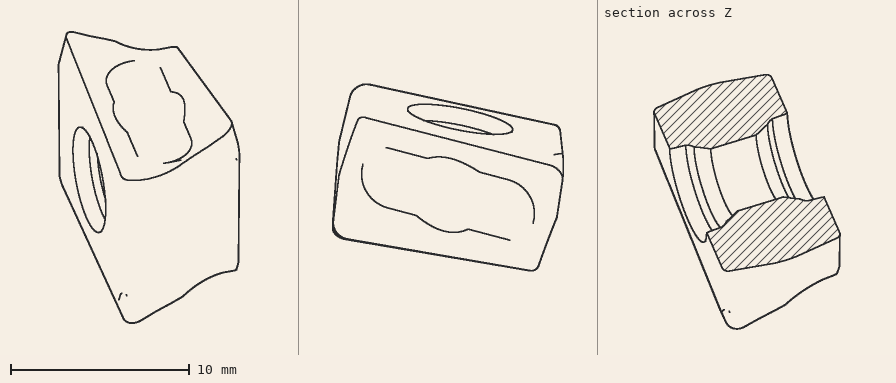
import cadquery as cq
import math


THICKNESS = 7.01
HALF_THICKNESS = THICKNESS / 2
BLANK_HEIGHT = 16.0
OVERSIZE = 30.0
WASTE_SIZE = 120.0

MAIN_END = (-6.323, 0.148, 0.024)
MIDDLE_END = (-6.26, -0.045, 0.0101)
TALL_END = (-6.274, -0.057, 0.0132)

HIGH_RIM = cq.Vector(5.21, 3.17, 6.09)
LOW_RIM = cq.Vector(-5.33, 3.39, 3.99)
RELIEF_FOOT = cq.Vector(5.21, HALF_THICKNESS, 4.70)

SIDE_CORNER_RADIUS = 0.35
HIGH_CORNER_RADIUS = 0.9
LOW_CORNER_RADIUS = 0.42

FLOOR_Z = 3.89
FLOOR_EDGE_Y = 1.66
FLOOR_EDGE_TILT = 3.9
FLOOR_ROUND_RADIUS = 2.0
FLOOR_ROUND_CENTRE = (3.0, -0.55)
POCKET_TOP_Z = 8.0
WALL_EXTENSION = 1.3
END_RIM_Z = 4.56
END_RIM_SLOPE = 0.516

RIDGE_HALF_WIDTH = 1.5
RIDGE_HEIGHT = 0.31
RIDGE_FOOT_RADIUS = 0.2
RIDGE_SLAB_HALF_WIDTH = 1.95
RIDGE_LENGTH = 5.0

BORE_RADIUS = 2.2
BORE_HALF_LENGTH = 1.35
CONE_SMALL = (2.277, 1.5)
CONE_LARGE = (2.56, 2.0)
SEAT_INNER = (2.64, 2.19)
SEAT_MIDDLE = (2.80, 2.35)
SEAT_OUTER = (2.91, 2.58)
MOUTH_INNER = (2.95, 3.32)
MOUTH_RADIUS = 3.0

AXES = [(1, 0, 0), (0, 1, 0), (0, 0, 1)]


def half_turn(shape, axis):
    return shape.rotate((0, 0, 0), axis, 180)


def trimmed(shape, point, normal):
    """Remove everything of the shape in front of a plane with an outward normal."""
    waste = cq.Workplane(cq.Plane(point, normal=normal)).rect(WASTE_SIZE, WASTE_SIZE).extrude(WASTE_SIZE)
    return shape.cut(waste)


def end_plane(face):
    """Point and outward normal of an end face on the -X side."""
    offset, slope_y, slope_z = face
    return cq.Vector(offset, 0, 0), cq.Vector(-1, slope_y, slope_z)


def turned_about_z(vector):
    return cq.Vector(-vector.x, -vector.y, vector.z)


def make_core():
    """Plate with slightly leaning end faces and rounded side corners."""
    core = cq.Workplane("XY").box(OVERSIZE, THICKNESS, BLANK_HEIGHT)
    for face in (MAIN_END, MIDDLE_END):
        core = trimmed(core, *end_plane(face))
        for axis in AXES:
            core = core.intersect(half_turn(core, axis))
    return core.faces("<Y or >Y").edges("not |X").fillet(SIDE_CORNER_RADIUS)


def make_relief():
    """Envelope of one relief facet at +Y with its two rounded ends."""
    along = LOW_RIM - HIGH_RIM
    down = RELIEF_FOOT - HIGH_RIM
    envelope = cq.Workplane("XY").box(OVERSIZE, OVERSIZE, OVERSIZE)
    envelope = trimmed(envelope, HIGH_RIM, down.cross(along))
    point, normal = end_plane(TALL_END)
    envelope = trimmed(envelope, turned_about_z(point), turned_about_z(normal))
    envelope = trimmed(envelope, *end_plane(MAIN_END))
    envelope = envelope.faces(">Y").edges(">X").fillet(HIGH_CORNER_RADIUS)
    return envelope.faces(">Y").edges("<X").fillet(LOW_CORNER_RADIUS)


def side_rim(x):
    """Point of the straight cutting edge on the +Y side."""
    share = (x - LOW_RIM.x) / (HIGH_RIM.x - LOW_RIM.x)
    return LOW_RIM + (HIGH_RIM - LOW_RIM) * share


def end_rim(x, y):
    """Point of the straight part of the +X end rim."""
    return cq.Vector(x, y, END_RIM_Z + END_RIM_SLOPE * y)


def floor_edge(x):
    return cq.Vector(x, FLOOR_EDGE_Y - x * math.tan(math.radians(FLOOR_EDGE_TILT)), FLOOR_Z)


def floor_round(angle):
    turn = math.radians(angle)
    x = FLOOR_ROUND_CENTRE[0] + FLOOR_ROUND_RADIUS * math.cos(turn)
    y = FLOOR_ROUND_CENTRE[1] + FLOOR_ROUND_RADIUS * math.sin(turn)
    return cq.Vector(x, y, FLOOR_Z)


def half_pocket_stations():
    """Half of the pocket wall, clockwise from the low corner.

    Each station holds a floor point and the rim point it is joined to by a straight line,
    then the points the floor curve and the rim curve pass through on the way to the next station.
    """
    return [
        (cq.Vector(-4.88, 1.54, FLOOR_Z), cq.Vector(-5.86, 2.40, 3.70), [], []),
        (cq.Vector(-4.86, 1.73, FLOOR_Z), cq.Vector(-5.72, 3.22, 3.80), [], []),
        (floor_edge(-4.45), side_rim(-5.25), [], []),
        (floor_edge(-3.9), side_rim(-4.48), [], []),
        (floor_edge(-1.63), side_rim(-1.28), [], []),
        (floor_edge(1.73), side_rim(3.57), [], []),
        (floor_round(90 - FLOOR_EDGE_TILT), side_rim(5.19), [floor_round(76)], [end_rim(5.81, 2.92)]),
        (floor_round(65), end_rim(6.07, 2.43), [floor_round(40)], []),
        (floor_round(16), end_rim(6.16, 0.6), [floor_round(6)], []),
        (floor_round(-5), end_rim(6.19, 0), [],
         [cq.Vector(6.15, -0.5, 4.24), cq.Vector(6.06, -1.17, 3.93)]),
    ]


def turned_station(station):
    floor, rim, floor_via, rim_via = station
    return (
        turned_about_z(floor),
        turned_about_z(rim),
        [turned_about_z(point) for point in floor_via],
        [turned_about_z(point) for point in rim_via],
    )


def edge_through(points):
    if len(points) == 2:
        return cq.Edge.makeLine(*points)
    if len(points) == 3:
        return cq.Edge.makeThreePointArc(*points)
    return cq.Edge.makeSpline(points)


def extended(floor, rim):
    """Point on the line from floor to rim, a little past the rim."""
    return floor + (rim - floor) * WALL_EXTENSION


def at_pocket_top(point):
    return cq.Vector(point.x, point.y, POCKET_TOP_Z)


def make_pocket():
    """Cutter for the top pocket: ruled walls from the floor outline out past the rim."""
    half = half_pocket_stations()
    stations = half + [turned_station(station) for station in half]
    floor_edges = []
    wall_edges = []
    top_edges = []
    for station, next_station in zip(stations, stations[1:] + stations[:1]):
        floor, rim, floor_via, rim_via = station
        next_floor, next_rim = next_station[:2]
        outer = extended(floor, rim)
        next_outer = extended(next_floor, next_rim)
        outer_via = []
        for step, point in enumerate(rim_via, 1):
            share = step / (len(rim_via) + 1)
            outer_via.append(extended(floor + (next_floor - floor) * share, point))
        floor_edges.append(edge_through([floor, *floor_via, next_floor]))
        wall_edges.append(edge_through([outer, *outer_via, next_outer]))
        top_edges.append(edge_through([at_pocket_top(outer), at_pocket_top(next_outer)]))
    wires = [cq.Wire.assembleEdges(edges) for edges in (floor_edges, wall_edges, top_edges)]
    return cq.Workplane(cq.Solid.makeLoft(wires, True))


def make_ridge():
    """Low rounded ridge across the pocket floor, blended into a slab below the floor."""
    slab_z = FLOOR_Z - RIDGE_HEIGHT
    ridge = (
        cq.Workplane("XZ")
        .moveTo(-RIDGE_SLAB_HALF_WIDTH, slab_z)
        .lineTo(-RIDGE_SLAB_HALF_WIDTH, FLOOR_Z)
        .lineTo(-RIDGE_HALF_WIDTH, FLOOR_Z)
        .threePointArc((0, FLOOR_Z + RIDGE_HEIGHT), (RIDGE_HALF_WIDTH, FLOOR_Z))
        .lineTo(RIDGE_SLAB_HALF_WIDTH, FLOOR_Z)
        .lineTo(RIDGE_SLAB_HALF_WIDTH, slab_z)
        .close()
        .extrude(RIDGE_LENGTH / 2, both=True)
    )
    for foot_x in (-RIDGE_HALF_WIDTH, RIDGE_HALF_WIDTH):
        foot = cq.selectors.NearestToPointSelector((foot_x, 0, FLOOR_Z))
        ridge = ridge.edges("|Y").edges(foot).fillet(RIDGE_FOOT_RADIUS)
    return ridge


def make_hole():
    """Screw hole with a stepped seat opening at both sides."""
    half_hole = (
        cq.Workplane("XY")
        .lineTo(BORE_RADIUS, 0)
        .lineTo(BORE_RADIUS, BORE_HALF_LENGTH)
        .lineTo(*CONE_SMALL)
        .lineTo(*CONE_LARGE)
        .lineTo(*SEAT_INNER)
        .threePointArc(SEAT_MIDDLE, SEAT_OUTER)
        .lineTo(*MOUTH_INNER)
        .lineTo(MOUTH_RADIUS, HALF_THICKNESS)
        .lineTo(0, HALF_THICKNESS)
        .close()
        .revolve(360, (0, 0, 0), (0, 1, 0))
    )
    return half_hole.union(half_turn(half_hole, (1, 0, 0)))


def make_insert():
    body = make_core()
    relief = make_relief()
    body = body.intersect(relief)
    for axis in AXES:
        body = body.intersect(half_turn(relief, axis))
    pocket = make_pocket().cut(make_ridge())
    body = body.cut(pocket).cut(half_turn(pocket, (1, 0, 0)))
    return body.cut(make_hole())


result = make_insert()